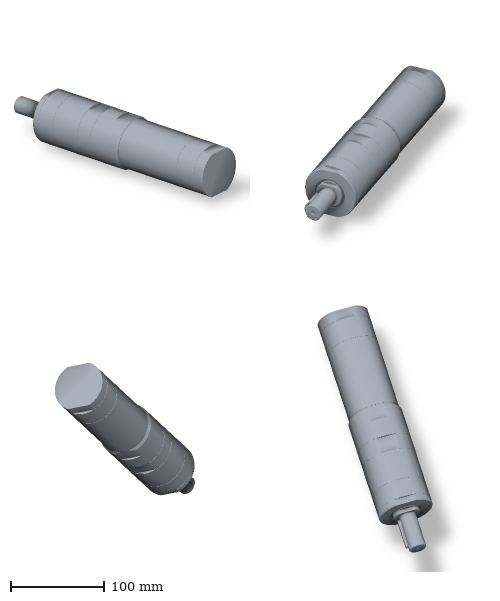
import cadquery as cq
import math

total_length = 278.7

shaft_diameter = 19.0
shaft_neck_diameter = 18.7
shaft_neck_start = 35.5
shaft_tip_chamfer = 0.8

centre_recess_diameter = 5.5
centre_cone_diameter = 4.2
centre_pilot_diameter = 1.55
centre_recess_depth = 0.3
centre_pilot_depth = 4.5
centre_cone_half_angle = 30.0

key_start = 4.2
key_end = 37.0
key_width = 6.0
key_top = 12.0
key_seat = 5.5

collar_start = 39.5
collar_diameter = 29.8
collar_chamfer = 0.8
collar_across_flats = 24.0

recess_diameter = 35.0
recess_depth = 2.2

gearbox_start = 43.8
gearbox_diameter = 60.0
front_taper_length = 1.7
front_taper_depth = 0.7
rear_chamfer_start = 158.0
rear_chamfer_end_diameter = 55.7

motor_start = 161.6
motor_diameter = 56.0

gearbox_across_flats = 55.0
motor_across_flats = 50.0
front_flat_end = 50.7
middle_flat_start = 105.5
middle_flat_end = 123.7
rear_flat_start = 144.0
motor_flat_start = 266.5

joint_width = 0.8
joint_depth = 0.3
gearbox_joints = (front_flat_end, 70.8, middle_flat_start, middle_flat_end)
motor_joints = (motor_start, 242.0, motor_flat_start)


def cylinder(start, end, diameter):
    """Cylinder on the X axis between two stations."""
    return cq.Workplane("YZ", origin=(start, 0, 0)).circle(diameter / 2).extrude(end - start)


def cut_flats(body, start, end, across_flats):
    """Trim the body to a width across flats in Z between two stations."""
    block_size = 2 * gearbox_diameter
    for side in (1, -1):
        centre = ((start + end) / 2, 0, side * (across_flats + block_size) / 2)
        block = cq.Workplane("XY", origin=centre).box(end - start, block_size, block_size)
        body = body.cut(block)
    return body


def cut_joint(body, station, diameter):
    """Cut a fine ring groove centred on a station."""
    start = station - joint_width / 2
    end = station + joint_width / 2
    ring = cylinder(start, end, 2 * diameter).cut(cylinder(start, end, diameter - 2 * joint_depth))
    return body.cut(ring)


def make_housing():
    gearbox_radius = gearbox_diameter / 2
    motor_radius = motor_diameter / 2
    profile = [
        (gearbox_start, 0),
        (gearbox_start, gearbox_radius - front_taper_depth),
        (gearbox_start + front_taper_length, gearbox_radius),
        (rear_chamfer_start, gearbox_radius),
        (motor_start, rear_chamfer_end_diameter / 2),
        (motor_start, motor_radius),
        (total_length, motor_radius),
        (total_length, 0),
    ]
    housing = cq.Workplane("XY").polyline(profile).close().revolve(360, (0, 0, 0), (1, 0, 0))
    housing = cut_flats(housing, gearbox_start, front_flat_end, gearbox_across_flats)
    housing = cut_flats(housing, middle_flat_start, middle_flat_end, gearbox_across_flats)
    housing = cut_flats(housing, rear_flat_start, motor_start, gearbox_across_flats)
    housing = cut_flats(housing, motor_flat_start, total_length, motor_across_flats)
    for station in gearbox_joints:
        housing = cut_joint(housing, station, gearbox_diameter)
    for station in motor_joints:
        housing = cut_joint(housing, station, motor_diameter)
    recess = cylinder(gearbox_start, gearbox_start + recess_depth, recess_diameter)
    return housing.cut(recess)


def make_collar():
    collar = cylinder(collar_start, gearbox_start, collar_diameter)
    collar = collar.faces("<X").chamfer(collar_chamfer)
    collar = cut_flats(collar, collar_start, gearbox_start, collar_across_flats)
    return collar.union(cylinder(gearbox_start, gearbox_start + recess_depth, collar_diameter))


def make_shaft():
    shaft = cylinder(0, shaft_neck_start, shaft_diameter).faces("<X").chamfer(shaft_tip_chamfer)
    return shaft.union(cylinder(shaft_neck_start, collar_start, shaft_neck_diameter))


def make_key():
    key_length = key_end - key_start
    key_centre = (key_start + key_end) / 2
    key = cq.Workplane("XZ", origin=(key_centre, key_seat, 0)).slot2D(key_length, key_width)
    return key.extrude(key_seat - key_top)


def make_centre_hole():
    cone_radius = centre_cone_diameter / 2
    pilot_radius = centre_pilot_diameter / 2
    cone_length = (cone_radius - pilot_radius) / math.tan(math.radians(centre_cone_half_angle))
    profile = [
        (0, 0),
        (0, centre_recess_diameter / 2),
        (centre_recess_depth, cone_radius),
        (centre_recess_depth + cone_length, pilot_radius),
        (centre_pilot_depth, pilot_radius),
        (centre_pilot_depth, 0),
    ]
    return cq.Workplane("XY").polyline(profile).close().revolve(360, (0, 0, 0), (1, 0, 0))


result = make_housing().union(make_collar()).union(make_shaft()).union(make_key())
result = result.cut(make_centre_hole())